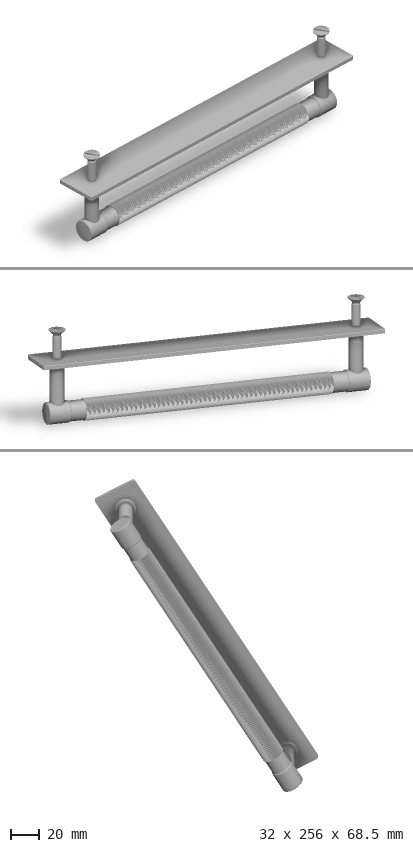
import cadquery as cq
import math

PLATE_LENGTH = 256.0
PLATE_WIDTH = 32.0
PLATE_THICKNESS = 3.0
PLATE_CORNER_RADIUS = 1.5
PLATE_TOP_CHAMFER = 0.3

PLATE_BOTTOM_Z = 36.4
SCREW_TOP_Z = 60.5

POST_SPACING = 224.0
TEE_DIAMETER = 16.0
TEE_LENGTH = 16.0
TEE_CHAMFER = 0.38
STEM_DIAMETER = 10.2
FLANGE_DIAMETER = 14.8
FLANGE_THICKNESS = 2.3
FLANGE_CHAMFER = 0.3
STEM_CHAMFER = 0.3

BAR_DIAMETER = 14.5
GRIP_DIAMETER = TEE_DIAMETER
GRIP_LENGTH = 184.8
FLUTE_COUNT = 64
FLUTE_DEPTH = 0.5

SHANK_DIAMETER = 6.1
NECK_DIAMETER = 5.5
HEAD_DIAMETER = 11.8
HEAD_RIM_HEIGHT = 0.8
HEAD_CONE_HEIGHT = 3.0
NECK_HEIGHT = 1.0
SHANK_CHAMFER = (SHANK_DIAMETER - NECK_DIAMETER) / 2
SLOT_WIDTH = 1.5
SLOT_DEPTH = 2.5
SLOT_ANGLE = 30.0
SCREW_ENGAGEMENT = 10.2

BAR_LENGTH = POST_SPACING - TEE_LENGTH
SCREW_BOTTOM_Z = PLATE_BOTTOM_Z - SCREW_ENGAGEMENT
POST_SIDES = (-1, 1)


def cylinder_z(diameter, bottom, top):
    """Upright cylinder on the Z axis."""
    return cq.Workplane("XY").workplane(offset=bottom).circle(diameter / 2).extrude(top - bottom)


def make_plate():
    """Flat plate with rounded vertical corners and a clearance hole for each screw."""
    plate = (
        cq.Workplane("XY")
        .workplane(offset=PLATE_BOTTOM_Z)
        .rect(PLATE_WIDTH, PLATE_LENGTH)
        .extrude(PLATE_THICKNESS)
        .edges("|Z")
        .fillet(PLATE_CORNER_RADIUS)
        .faces(">Z")
        .chamfer(PLATE_TOP_CHAMFER)
    )
    return (
        plate.faces(">Z")
        .workplane()
        .pushPoints([(0, side * POST_SPACING / 2) for side in POST_SIDES])
        .hole(SHANK_DIAMETER)
    )


def make_post(side):
    """Tee, stem and flange in one piece, with a blind screw hole from the top."""
    tee = (
        cq.Workplane("XZ")
        .circle(TEE_DIAMETER / 2)
        .extrude(TEE_LENGTH / 2, both=True)
        .faces("<Y or >Y")
        .chamfer(TEE_CHAMFER)
    )
    flange_bottom = PLATE_BOTTOM_Z - FLANGE_THICKNESS
    stem = cylinder_z(STEM_DIAMETER, 0, flange_bottom).faces(">Z").chamfer(STEM_CHAMFER)
    flange = (
        cylinder_z(FLANGE_DIAMETER, flange_bottom, PLATE_BOTTOM_Z)
        .faces("<Z or >Z")
        .chamfer(FLANGE_CHAMFER)
    )
    screw_hole = cylinder_z(SHANK_DIAMETER, SCREW_BOTTOM_Z, PLATE_BOTTOM_Z)
    post = tee.union(stem).union(flange).cut(screw_hole)
    return post.translate((0, side * POST_SPACING / 2, 0))


def make_screw(side):
    """Countersunk screw with a short neck under the head and a straight driver slot."""
    rim_bottom = SCREW_TOP_Z - HEAD_RIM_HEIGHT
    cone_bottom = rim_bottom - HEAD_CONE_HEIGHT
    shank_top = cone_bottom - NECK_HEIGHT
    screw = (
        cq.Workplane("XZ")
        .moveTo(0, SCREW_BOTTOM_Z)
        .lineTo(SHANK_DIAMETER / 2, SCREW_BOTTOM_Z)
        .lineTo(SHANK_DIAMETER / 2, shank_top - SHANK_CHAMFER)
        .lineTo(NECK_DIAMETER / 2, shank_top)
        .lineTo(NECK_DIAMETER / 2, cone_bottom)
        .lineTo(HEAD_DIAMETER / 2, rim_bottom)
        .lineTo(HEAD_DIAMETER / 2, SCREW_TOP_Z)
        .lineTo(0, SCREW_TOP_Z)
        .close()
        .revolve(360, (0, 0, 0), (0, 1, 0))
    )
    slot = (
        cq.Workplane("XY")
        .workplane(offset=SCREW_TOP_Z - SLOT_DEPTH)
        .rect(2 * HEAD_DIAMETER, SLOT_WIDTH)
        .extrude(2 * SLOT_DEPTH)
        .rotate((0, 0, 0), (0, 0, 1), SLOT_ANGLE)
    )
    return screw.cut(slot).translate((0, side * POST_SPACING / 2, 0))


def make_bar():
    """Round bar between the tees, with V-shaped flutes running along its thicker grip."""
    core = cq.Workplane("XZ").circle(BAR_DIAMETER / 2).extrude(BAR_LENGTH / 2, both=True)
    crest_radius = GRIP_DIAMETER / 2
    root_radius = crest_radius - FLUTE_DEPTH
    half_pitch = math.pi / FLUTE_COUNT
    outline = []
    for flute in range(FLUTE_COUNT):
        crest_angle = 2 * flute * half_pitch
        root_angle = crest_angle + half_pitch
        outline.append((crest_radius * math.cos(crest_angle), crest_radius * math.sin(crest_angle)))
        outline.append((root_radius * math.cos(root_angle), root_radius * math.sin(root_angle)))
    grip = cq.Workplane("XZ").polyline(outline).close().extrude(GRIP_LENGTH / 2, both=True)
    return core.union(grip)


plate = make_plate()
bar = make_bar()
posts = [make_post(side) for side in POST_SIDES]
screws = [make_screw(side) for side in POST_SIDES]

result = cq.Compound.makeCompound(
    [plate.val(), bar.val()] + [post.val() for post in posts] + [screw.val() for screw in screws]
)